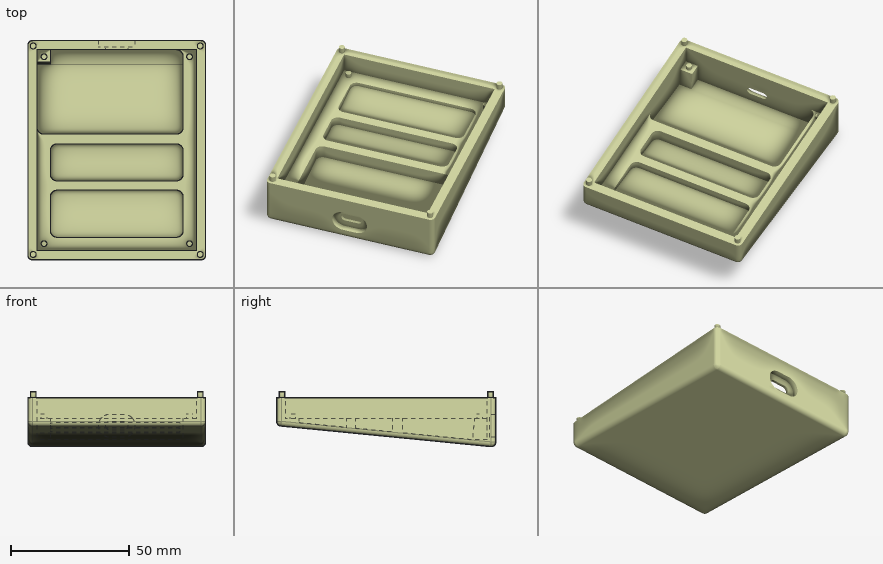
import cadquery as cq

WIDTH = 75.2
LENGTH = 92.7
FRONT_HEIGHT = 11.9
BACK_HEIGHT = 20.95
SLOPE = (BACK_HEIGHT - FRONT_HEIGHT) / LENGTH
EDGE_RADIUS = 2.0

WALL = 3.9
LEDGE_DEPTH = 8.8
INNER_WIDTH = WIDTH - 2 * WALL
INNER_BACK = LENGTH / 2 - WALL

FLOOR_THICKNESS = 2.2
POCKET_HALF_WIDTH = 28.1
POCKET_RADIUS = 3.0
FRONT_POCKET = (-36.8, -16.9)
MIDDLE_POCKET = (-13.0, 2.7)
BACK_POCKET = (6.8, INNER_BACK)

STRIP_FRONT = 36.15
STRIP_DEPTH = FRONT_HEIGHT + SLOPE * (STRIP_FRONT + LENGTH / 2) - FLOOR_THICKNESS

POST_FOOT_FRONT = 36.5
POST_TOP_FRONT = 37.3

RIM_PIN_DIAMETER = 2.5
RIM_PIN_INSET = 2.3
RIM_PIN_HEIGHT = 2.5
LEDGE_PIN_DIAMETER = 2.4
LEDGE_PIN_INSET = 6.9
LEDGE_PIN_HEIGHT = 1.95

SLOT_LENGTH = 9.5
SLOT_HEIGHT = 3.5
SLOT_WEB = 1.2
RECESS_MARGIN = 3.1
SLOT_DEPTH = 11.9


def underside(y):
    """Z of the sloped underside at a given Y."""
    return -FRONT_HEIGHT - SLOPE * (y + LENGTH / 2)


def floor(y):
    """Z of the sloped pocket floor at a given Y."""
    return underside(y) + FLOOR_THICKNESS


def side_profile(points, x_start, x_end):
    """Solid with a (Y, Z) outline, running from x_start to x_end."""
    profile = cq.Workplane("YZ", origin=(x_start, 0, 0)).polyline(points).close()
    return profile.extrude(x_end - x_start)


def make_body():
    front = -LENGTH / 2
    back = LENGTH / 2
    outline = [(front, 0), (back, 0), (back, underside(back)), (front, underside(front))]
    body = side_profile(outline, -WIDTH / 2, WIDTH / 2)
    body = body.edges("|Z").fillet(EDGE_RADIUS)
    return body.faces("<Z").edges().fillet(EDGE_RADIUS)


def make_cavity():
    return (
        cq.Workplane("XY")
        .rect(INNER_WIDTH, 2 * INNER_BACK)
        .extrude(-LEDGE_DEPTH)
    )


def make_pocket(x_left, y_front, y_back, floor_points):
    """Round-cornered pocket whose lower boundary follows floor_points."""
    x_middle = (x_left + POCKET_HALF_WIDTH) / 2
    y_middle = (y_front + y_back) / 2
    column = (
        cq.Workplane("XY")
        .center(x_middle, y_middle)
        .rect(POCKET_HALF_WIDTH - x_left, y_back - y_front)
        .extrude(-BACK_HEIGHT)
        .edges("|Z")
        .fillet(POCKET_RADIUS)
    )
    outline = [(y_front, 0)] + floor_points + [(y_back, 0)]
    return column.intersect(side_profile(outline, x_left, POCKET_HALF_WIDTH))


def make_sloped_pocket(y_front, y_back):
    floor_points = [(y_front, floor(y_front)), (y_back, floor(y_back))]
    return make_pocket(-POCKET_HALF_WIDTH, y_front, y_back, floor_points)


def make_back_pocket():
    y_front, y_back = BACK_POCKET
    floor_points = [
        (y_front, floor(y_front)),
        (STRIP_FRONT, -STRIP_DEPTH),
        (y_back, -STRIP_DEPTH),
    ]
    return make_pocket(-INNER_WIDTH / 2, y_front, y_back, floor_points)


def make_post():
    outline = [
        (POST_FOOT_FRONT, -STRIP_DEPTH),
        (POST_TOP_FRONT, -LEDGE_DEPTH),
        (INNER_BACK, -LEDGE_DEPTH),
        (INNER_BACK, -STRIP_DEPTH),
    ]
    return side_profile(outline, -INNER_WIDTH / 2, -POCKET_HALF_WIDTH)


def make_corner_pins(inset, diameter, height, base_z):
    """Four upright pins, each set in from the outer sides by the same inset."""
    return (
        cq.Workplane("XY", origin=(0, 0, base_z))
        .rect(WIDTH - 2 * inset, LENGTH - 2 * inset, forConstruction=True)
        .vertices()
        .circle(diameter / 2)
        .extrude(height)
    )


def make_back_slot(length, height, depth):
    """Level round-ended slot cut inward from the outer back face."""
    return (
        cq.Workplane("XZ", origin=(0, LENGTH / 2, -SLOT_DEPTH))
        .slot2D(length, height)
        .extrude(depth)
    )


def make_cable_opening():
    slot = make_back_slot(SLOT_LENGTH, SLOT_HEIGHT, WALL)
    recess = make_back_slot(
        SLOT_LENGTH + 2 * RECESS_MARGIN,
        SLOT_HEIGHT + 2 * RECESS_MARGIN,
        WALL - SLOT_WEB,
    )
    return slot.union(recess)


result = make_body().cut(make_cavity())
for pocket_span in (FRONT_POCKET, MIDDLE_POCKET):
    result = result.cut(make_sloped_pocket(*pocket_span))
result = result.cut(make_back_pocket())
result = result.union(make_post())
result = result.cut(make_cable_opening())
result = result.union(make_corner_pins(RIM_PIN_INSET, RIM_PIN_DIAMETER, RIM_PIN_HEIGHT, 0))
result = result.union(
    make_corner_pins(LEDGE_PIN_INSET, LEDGE_PIN_DIAMETER, LEDGE_PIN_HEIGHT, -LEDGE_DEPTH)
)